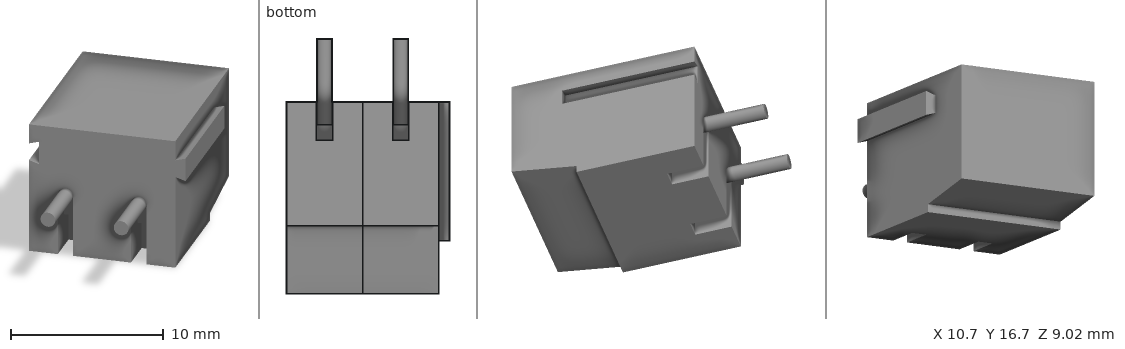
import cadquery as cq

PITCH = 5.0
MODULE_COUNT = 2
HOUSING_DEPTH = 12.58
HOUSING_HEIGHT = 9.02
FOOT_DEPTH = 8.1
FOOT_STEP = 0.53
SLOPE_END_HEIGHT = 1.34

DOVETAIL_LENGTH = 9.1
DOVETAIL_REACH = 0.7
DOVETAIL_NECK = 1.19
DOVETAIL_WIDE = 1.6
DOVETAIL_CENTER_Z = 7.06

PIN_DIAMETER = 1.0
PIN_LENGTH = 4.12
PIN_CENTER_Z = 4.23
SLOT_WIDTH = 1.05
SLOT_DEPTH = 1.5
SLOT_STEP_Z = 2.22
SLOT_LOWER_DEPTH = 2.5


def box_between(x_range, y_range, z_range):
    """Box spanning the given (low, high) pairs."""
    sizes = [high - low for low, high in (x_range, y_range, z_range)]
    corner = (x_range[0], y_range[0], z_range[0])
    return cq.Workplane("XY").box(*sizes, centered=False).translate(corner)


def dovetail(root_x):
    """Bar that widens towards +X, from the pin side to its blind end."""
    tip_x = root_x + DOVETAIL_REACH
    return (
        cq.Workplane("XZ")
        .polyline([
            (root_x, DOVETAIL_CENTER_Z - DOVETAIL_NECK / 2),
            (tip_x, DOVETAIL_CENTER_Z - DOVETAIL_WIDE / 2),
            (tip_x, DOVETAIL_CENTER_Z + DOVETAIL_WIDE / 2),
            (root_x, DOVETAIL_CENTER_Z + DOVETAIL_NECK / 2),
        ])
        .close()
        .extrude(-DOVETAIL_LENGTH)
    )


def cylinder_along_y(center_x, diameter, start_y, end_y):
    """Cylinder at pin height with its axis along Y."""
    return (
        cq.Workplane("XZ", origin=(center_x, start_y, PIN_CENTER_Z))
        .circle(diameter / 2)
        .extrude(start_y - end_y)
    )


def pin_slot(center_x):
    """Round-topped slot open at the front and below, deeper in its lower part."""
    x_range = (center_x - SLOT_WIDTH / 2, center_x + SLOT_WIDTH / 2)
    upper = box_between(x_range, (0, SLOT_DEPTH), (0, PIN_CENTER_Z))
    lower = box_between(x_range, (0, SLOT_LOWER_DEPTH), (0, SLOT_STEP_Z))
    rounded_top = cylinder_along_y(center_x, SLOT_WIDTH, 0, SLOT_DEPTH)
    return upper.union(lower).union(rounded_top)


def make_housing(left_x):
    """Block with a stepped, sloped underside at the rear and a pin slot."""
    block = (
        cq.Workplane("YZ", origin=(left_x, 0, 0))
        .polyline([
            (0, 0),
            (FOOT_DEPTH, 0),
            (FOOT_DEPTH, FOOT_STEP),
            (HOUSING_DEPTH, SLOPE_END_HEIGHT),
            (HOUSING_DEPTH, HOUSING_HEIGHT),
            (0, HOUSING_HEIGHT),
        ])
        .close()
        .extrude(PITCH)
    )
    return block.cut(pin_slot(left_x + PITCH / 2))


def make_pin(center_x):
    """Round pin standing out of the slot, ending at the slot's rear wall."""
    return cylinder_along_y(center_x, PIN_DIAMETER, -PIN_LENGTH, SLOT_DEPTH)


def make_key():
    """Dovetail bar seated on the outer side of the last module."""
    return dovetail(MODULE_COUNT * PITCH)


module_positions = [index * PITCH for index in range(MODULE_COUNT)]
housings = [make_housing(left_x) for left_x in module_positions]
housings[0] = housings[0].cut(dovetail(0))
pins = [make_pin(left_x + PITCH / 2) for left_x in module_positions]
key = make_key()

result = cq.Compound.makeCompound([
    *[housing.val() for housing in housings],
    *[pin.val() for pin in pins],
    key.val(),
])